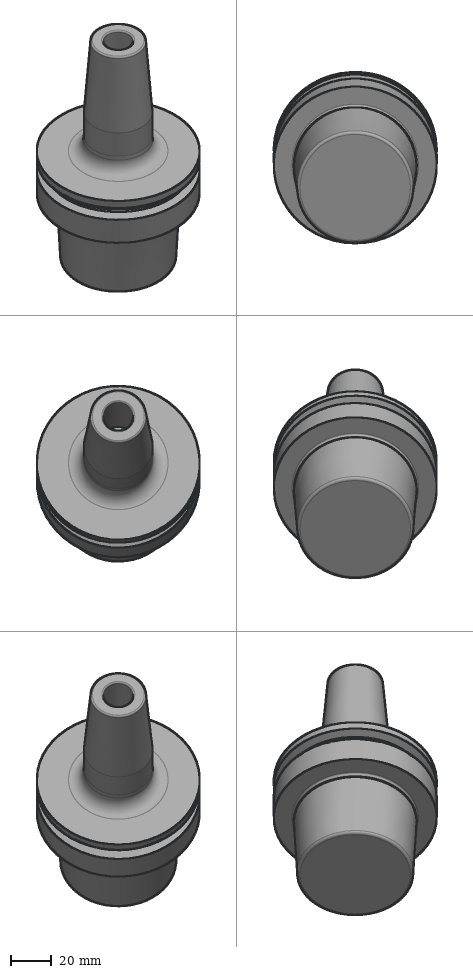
import cadquery as cq

total_height = 134.9
flange_bottom = 40.0
flange_top = 66.1
taper_top = 37.5
nose_cone_bottom = 90.4

shank_end_radius = 28.5
shank_top_radius = 30.2
shank_end_round = 1.5
neck_radius = 30.0
neck_bottom = 38.2
neck_fillet = 1.1

flange_diameter = 80.0
flange_radius = flange_diameter / 2
groove_centre = 58.0
groove_mouth_width = 7.3
groove_throat_width = 4.0
groove_floor_width = 2.4
groove_throat_radius = 35.9
groove_floor_radius = 35.1

stem_radius = 16.9
stem_flare = 0.1
stem_cylinder_bottom = 76.0
stem_fillet = 7.4
nose_radius = 13.6
nose_round = 1.0

bore_radius = 7.3
bore_depth = 36.4
bore_mouth_round = 0.8


def make_shank():
    profile = (
        cq.Workplane("XZ")
        .lineTo(shank_end_radius, 0)
        .lineTo(shank_top_radius, taper_top)
        .lineTo(neck_radius, neck_bottom)
        .lineTo(neck_radius, flange_bottom - neck_fillet)
        .radiusArc((neck_radius + neck_fillet, flange_bottom), neck_fillet)
        .lineTo(0, flange_bottom)
        .close()
    )
    return profile.revolve().faces("<Z").edges().fillet(shank_end_round)


def make_flange():
    flange = (
        cq.Workplane("XY", origin=(0, 0, flange_bottom))
        .circle(flange_radius)
        .extrude(flange_top - flange_bottom)
    )
    half_mouth = groove_mouth_width / 2
    half_throat = groove_throat_width / 2
    half_floor = groove_floor_width / 2
    groove = (
        cq.Workplane("XZ")
        .moveTo(flange_radius, groove_centre + half_mouth)
        .lineTo(groove_throat_radius, groove_centre + half_throat)
        .lineTo(groove_floor_radius, groove_centre + half_floor)
        .lineTo(groove_floor_radius, groove_centre - half_floor)
        .lineTo(groove_throat_radius, groove_centre - half_throat)
        .lineTo(flange_radius, groove_centre - half_mouth)
        .close()
        .revolve(360, (0, 0, 0), (0, 1, 0))
    )
    return flange.cut(groove)


def make_stem():
    stem_foot_radius = stem_radius + stem_flare
    profile = (
        cq.Workplane("XZ")
        .moveTo(0, flange_top)
        .lineTo(stem_foot_radius + stem_fillet, flange_top)
        .radiusArc((stem_foot_radius, flange_top + stem_fillet), stem_fillet)
        .lineTo(stem_radius, stem_cylinder_bottom)
        .lineTo(stem_radius, nose_cone_bottom)
        .lineTo(nose_radius, total_height)
        .lineTo(0, total_height)
        .close()
    )
    return profile.revolve(360, (0, 0, 0), (0, 1, 0)).faces(">Z").edges().fillet(nose_round)


def make_bore():
    mouth_radius = bore_radius + bore_mouth_round
    bore_bottom = total_height - bore_depth
    profile = (
        cq.Workplane("XZ")
        .moveTo(0, bore_bottom)
        .lineTo(bore_radius, bore_bottom)
        .lineTo(bore_radius, total_height - bore_mouth_round)
        .radiusArc((mouth_radius, total_height), bore_mouth_round)
        .lineTo(0, total_height)
        .close()
    )
    return profile.revolve(360, (0, 0, 0), (0, 1, 0))


result = make_shank().union(make_flange()).union(make_stem()).cut(make_bore())